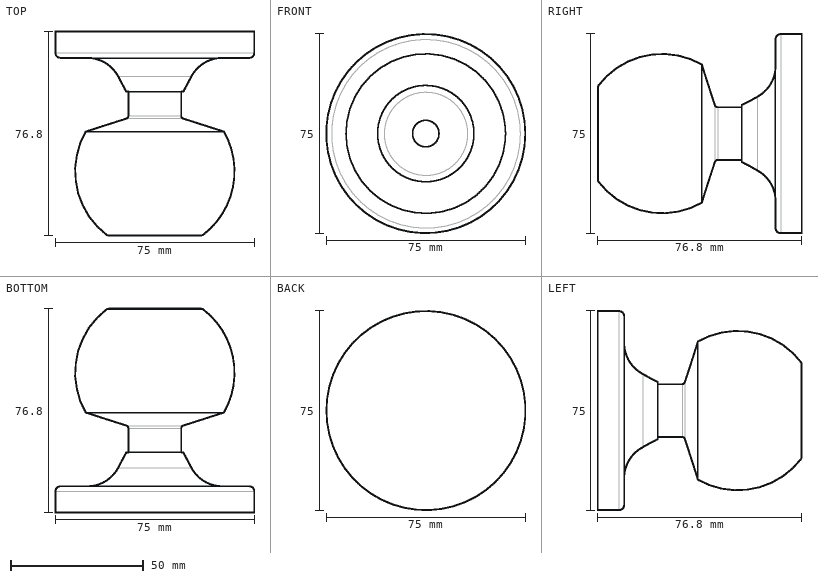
import cadquery as cq
import math

overall_length = 76.8

rose_radius = 75.0 / 2
rose_thickness = 10.0
rose_edge_radius = 2.0

flare_base_radius = 25.35
flare_arc_radius = 13.05
taper_angle = math.radians(28)
collar_end_depth = 22.65

neck_radius = 20.0 / 2
neck_end_depth = 32.5
neck_fillet = 1.0

ball_radius = 30.0
ball_center_depth = 52.6
ball_start_depth = 37.6

rim_outer_radius = 18.1
rim_inner_radius = 15.7
rim_crest_radius = (rim_outer_radius + rim_inner_radius) / 2
rim_inner_depth = 76.5
dish_radius = 23.05
hole_radius = 10.0 / 2
hole_depth = 10.0


def at(radius, depth):
    """Profile point at a radius from the axis and a depth from the back face."""
    return (radius, -depth)


def flare_point(angle):
    """Point on the flare arc after turning through an angle from the rose face."""
    radius = flare_base_radius - flare_arc_radius * math.sin(angle)
    depth = rose_thickness + flare_arc_radius * (1 - math.cos(angle))
    return at(radius, depth)


def dish_depth(radius):
    """Depth of the dish surface at a radius from the axis."""
    rim_height = math.sqrt(dish_radius**2 - rim_inner_radius**2)
    return rim_inner_depth + rim_height - math.sqrt(dish_radius**2 - radius**2)


flare_angle = math.pi / 2 - taper_angle
flare_end = flare_point(flare_angle)
taper_length = collar_end_depth + flare_end[1]
collar_end_radius = flare_end[0] - taper_length * math.tan(taper_angle)

ball_start_radius = math.sqrt(ball_radius**2 - (ball_start_depth - ball_center_depth)**2)
rim_outer_depth = ball_center_depth + math.sqrt(ball_radius**2 - rim_outer_radius**2)
dish_middle_radius = (rim_inner_radius + hole_radius) / 2
hole_floor_depth = dish_depth(hole_radius) - hole_depth

cone_angle = math.atan2(ball_start_radius - neck_radius, ball_start_depth - neck_end_depth)
neck_tangent_length = neck_fillet * math.tan(cone_angle / 2)
fillet_start = at(neck_radius, neck_end_depth - neck_tangent_length)
fillet_end = at(
    neck_radius + neck_tangent_length * math.sin(cone_angle),
    neck_end_depth + neck_tangent_length * math.cos(cone_angle),
)

rose_edge_inset = rose_edge_radius * (1 - math.sqrt(0.5))

profile = (
    cq.Workplane("XY")
    .moveTo(0, 0)
    .lineTo(*at(rose_radius, 0))
    .lineTo(*at(rose_radius, rose_thickness - rose_edge_radius))
    .threePointArc(
        at(rose_radius - rose_edge_inset, rose_thickness - rose_edge_inset),
        at(rose_radius - rose_edge_radius, rose_thickness),
    )
    .lineTo(*at(flare_base_radius, rose_thickness))
    .threePointArc(flare_point(flare_angle / 2), flare_end)
    .lineTo(*at(collar_end_radius, collar_end_depth))
    .lineTo(*at(neck_radius, collar_end_depth))
    .lineTo(*fillet_start)
    .tangentArcPoint(fillet_end, relative=False)
    .lineTo(*at(ball_start_radius, ball_start_depth))
    .threePointArc(at(ball_radius, ball_center_depth), at(rim_outer_radius, rim_outer_depth))
    .threePointArc(at(rim_crest_radius, overall_length), at(rim_inner_radius, rim_inner_depth))
    .threePointArc(
        at(dish_middle_radius, dish_depth(dish_middle_radius)),
        at(hole_radius, dish_depth(hole_radius)),
    )
    .lineTo(*at(hole_radius, hole_floor_depth))
    .lineTo(*at(0, hole_floor_depth))
    .close()
)

result = profile.revolve(360, (0, 0, 0), (0, 1, 0))